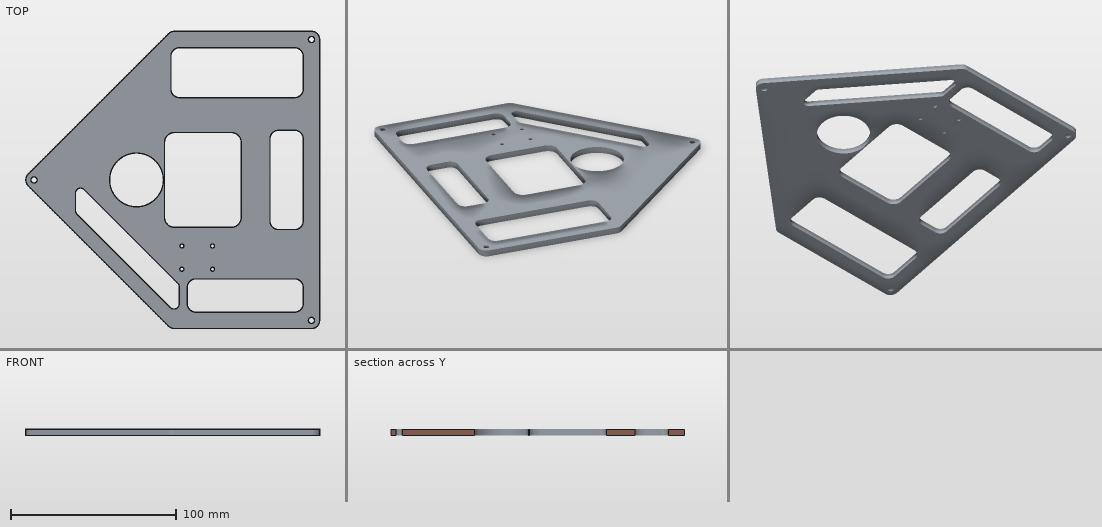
import cadquery as cq
import math

width = 180.0
half_width = width / 2
length = 180.0
thickness = 4.0
corner_radius = 5.0

screw_diameter = 3.6

border = 10.0
window_radius = 5.0
upper_window_length = 80.0
upper_window_height = 30.0
lower_window_length = 70.0
lower_window_height = 20.0
side_window_length = 20.0
side_window_height = 60.0

central_x = 109.3
central_length = 46.3
central_height = 57.2
central_radius = 6.0
round_x = 69.1
round_diameter = 32.4

slot_start_x = 32.2
slot_end_x = 94.9
slot_border = 8.8
slot_width = 13.5
slot_radius = 3.0

mount_diameter = 2.3
mount_x = 105.8
mount_y = -47.0
mount_spacing_x = 18.5
mount_spacing_y = 14.0


def prism(points, radius):
    """Plate-thick prism over a closed outline, with its upright edges rounded."""
    body = cq.Workplane("XY").polyline(points).close().extrude(thickness)
    return body.edges("|Z").fillet(radius)


def window(center_x, center_y, size_x, size_y, radius):
    """Cutter for a rounded rectangular opening."""
    body = cq.Workplane("XY").center(center_x, center_y).rect(size_x, size_y).extrude(thickness)
    return body.edges("|Z").fillet(radius)


def holes(centers, diameter):
    """Cutter for through holes of one diameter."""
    return cq.Workplane("XY").pushPoints(centers).circle(diameter / 2).extrude(thickness)


def slanted_slot():
    """Cutter for the parallelogram slot: upright ends, sides parallel to the slanted edge."""
    lower_offset = slot_border * math.sqrt(2)
    upper_offset = (slot_border + slot_width) * math.sqrt(2)
    return prism(
        [
            (slot_start_x, lower_offset - slot_start_x),
            (slot_end_x, lower_offset - slot_end_x),
            (slot_end_x, upper_offset - slot_end_x),
            (slot_start_x, upper_offset - slot_start_x),
        ],
        slot_radius,
    )


plate = prism(
    [
        (0, 0),
        (half_width, -half_width),
        (length, -half_width),
        (length, half_width),
        (half_width, half_width),
    ],
    corner_radius,
)

window_end_x = length - border
upper_window = window(
    window_end_x - upper_window_length / 2,
    half_width - border - upper_window_height / 2,
    upper_window_length,
    upper_window_height,
    window_radius,
)
lower_window = window(
    window_end_x - lower_window_length / 2,
    -half_width + border + lower_window_height / 2,
    lower_window_length,
    lower_window_height,
    window_radius,
)
side_window = window(
    window_end_x - side_window_length / 2, 0, side_window_length, side_window_height, window_radius
)
central_window = window(central_x, 0, central_length, central_height, central_radius)

screw_holes = holes(
    [
        (corner_radius * math.sqrt(2), 0),
        (length - corner_radius, half_width - corner_radius),
        (length - corner_radius, -half_width + corner_radius),
    ],
    screw_diameter,
)

mount_holes = holes(
    [
        (mount_x + side_x * mount_spacing_x / 2, mount_y + side_y * mount_spacing_y / 2)
        for side_x in (-1, 1)
        for side_y in (-1, 1)
    ],
    mount_diameter,
)

round_opening = holes([(round_x, 0)], round_diameter)

cutters = [
    upper_window,
    lower_window,
    side_window,
    central_window,
    round_opening,
    slanted_slot(),
    screw_holes,
    mount_holes,
]
result = plate
for cutter in cutters:
    result = result.cut(cutter)